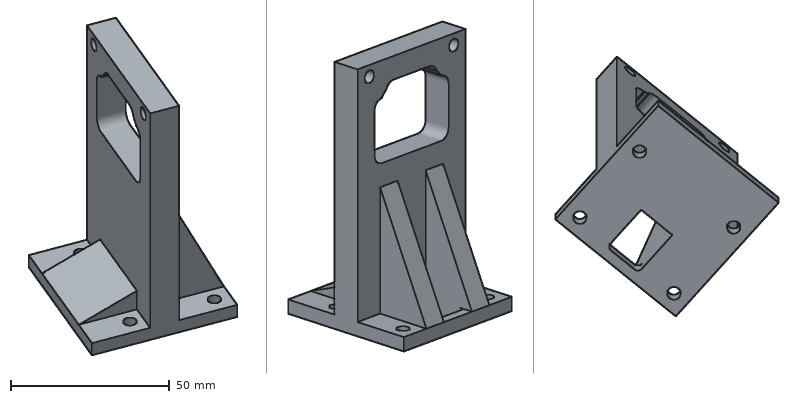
import cadquery as cq

height = 90.0
base_side = 50.0
base_thickness = 4.9
plate_thickness = 10.0
half_side = base_side / 2
plate_face = plate_thickness / 2
wall_height = height - base_thickness

hole_diameter = 4.2
hole_spacing_x = 39.1
hole_edge_offset = 5.5
base_hole_spacing_y = 29.1
plate_hole_drop = 4.0

gusset_width = 29.2
rear_gusset_height = 42.6
front_gusset_height = 7.4

slot_width = 13.0
slot_end_margin = 3.5
slot_corner_radius = 1.6

window_width = 34.2
window_height = 26.6
window_drop = 8.0
window_radius = 3.5
step_width = 5.3
step_height = 4.7
step_chamfer = 2.2


def make_base():
    return cq.Workplane("XY").box(base_side, base_side, base_thickness, centered=(True, True, False))


def make_plate():
    return (
        cq.Workplane("XY")
        .workplane(offset=base_thickness)
        .box(base_side, plate_thickness, wall_height, centered=(True, True, False))
    )


def make_gusset(direction, gusset_height):
    """Triangular support from the plate face to the base edge; direction is the sign of Y."""
    profile = [
        (direction * plate_face, base_thickness),
        (direction * half_side, base_thickness),
        (direction * plate_face, base_thickness + gusset_height),
    ]
    return cq.Workplane("YZ").polyline(profile).close().extrude(gusset_width / 2, both=True)


def make_slot():
    """Vertical cut behind the plate, rounded at its far end, that passes down through the base."""
    length = half_side - slot_end_margin - plate_face
    return (
        cq.Workplane("XY")
        .center(0, plate_face + length / 2)
        .rect(slot_width, length)
        .extrude(height)
        .edges("|Z and >Y")
        .fillet(slot_corner_radius)
    )


def make_gusset_gap():
    """Gap above the base that splits the rear gusset into two ribs out to the base edge."""
    length = half_side - plate_face
    return (
        cq.Workplane("XY")
        .workplane(offset=base_thickness)
        .center(0, plate_face + length / 2)
        .rect(slot_width, length)
        .extrude(wall_height)
    )


def rounded_opening(width, bottom, top):
    """Through-cutter for the plate with all four corners rounded."""
    return (
        cq.Workplane("XZ")
        .center(0, (bottom + top) / 2)
        .rect(width, top - bottom)
        .extrude(plate_thickness, both=True)
        .edges("|Y")
        .fillet(window_radius)
    )


def make_window():
    """Wide opening joined to a narrower, taller one, with a diagonal bridging each step."""
    top = height - window_drop
    bottom = top - window_height
    shoulder = top - step_height
    neck_width = window_width - 2 * step_width
    neck = neck_width / 2
    diagonal_outline = [
        (-neck - step_chamfer, shoulder),
        (neck + step_chamfer, shoulder),
        (neck, shoulder + step_chamfer),
        (-neck, shoulder + step_chamfer),
    ]
    diagonals = cq.Workplane("XZ").polyline(diagonal_outline).close().extrude(plate_thickness, both=True)
    wide_part = rounded_opening(window_width, bottom, shoulder)
    tall_part = rounded_opening(neck_width, bottom, top)
    return wide_part.union(tall_part).union(diagonals)


def make_base_holes():
    center_y = half_side - hole_edge_offset - base_hole_spacing_y / 2
    return (
        cq.Workplane("XY")
        .center(0, center_y)
        .rect(hole_spacing_x, base_hole_spacing_y, forConstruction=True)
        .vertices()
        .circle(hole_diameter / 2)
        .extrude(base_thickness)
    )


def make_plate_holes():
    hole_z = height - plate_hole_drop
    return (
        cq.Workplane("XZ")
        .pushPoints([(sign * hole_spacing_x / 2, hole_z) for sign in (-1, 1)])
        .circle(hole_diameter / 2)
        .extrude(plate_thickness, both=True)
    )


body = make_base().union(make_plate())
body = body.union(make_gusset(1, rear_gusset_height))
body = body.union(make_gusset(-1, front_gusset_height))
cutters = [
    make_slot(),
    make_gusset_gap(),
    make_window(),
    make_base_holes(),
    make_plate_holes(),
]
for cutter in cutters:
    body = body.cut(cutter)
result = body